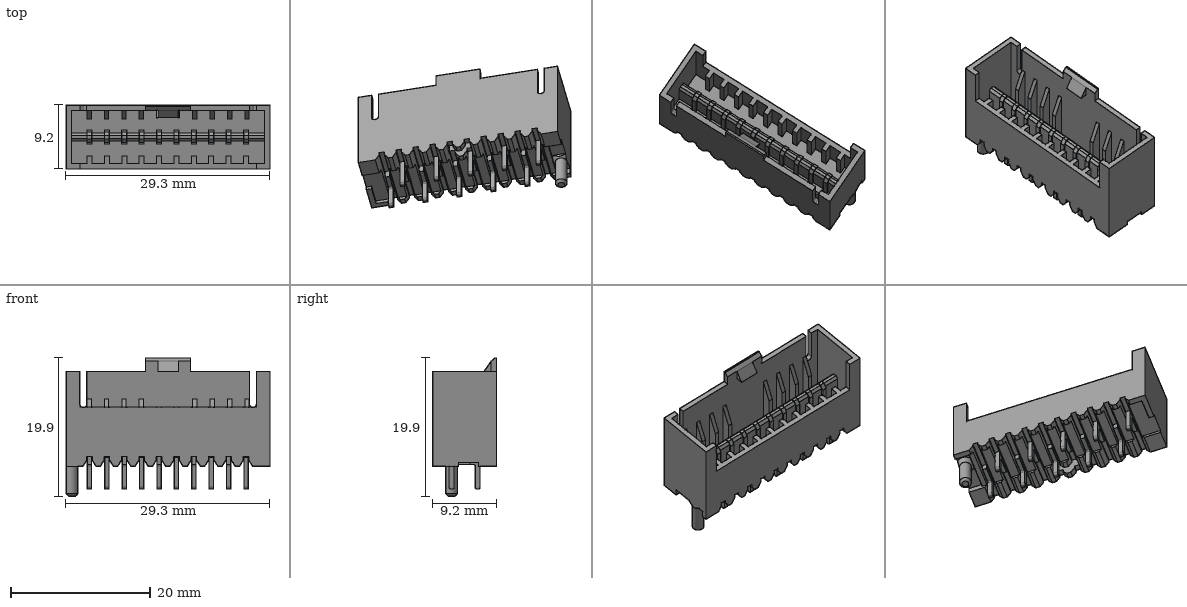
import cadquery as cq

LENGTH = 29.3
DEPTH = 9.2
HEIGHT = 13.65
WALL = 0.78
FLOOR_TOP = 2.5
SILL_HEIGHT = 8.5
SILL_HALF_WIDTH = 12.67
INNER_BACK = DEPTH / 2 - WALL
INNER_FRONT = -INNER_BACK
INNER_LENGTH = LENGTH - 2 * WALL

RELIEF_WIDTH = 0.97
RELIEF_RADIUS = 0.43

LATCH_WIDTH = 6.5
LATCH_TOP = 15.6
LATCH_BEVEL_HEIGHT = 0.47
LATCH_BEVEL_DEPTH = 0.55
CATCH_WIDTH = 2.95
CATCH_REACH = 1.03
CORE_HOLE_WIDTH = 3.27

BACK_RIB_WIDTH = 0.62
BACK_RIB_REACH = 1.25
BACK_RIB_TOP = 9.7
BACK_RIB_SHOULDER = 6.75
BACK_RIB_FIRST = 3.85
BACK_RIBS_PER_SIDE = 4
FRONT_RIB_WIDTH = 0.72
FRONT_RIB_REACH = 1.07

PIN_COUNT = 10
PITCH = 2.5
PIN_ROW_CENTER = -0.05
PIN_XS = [PIN_ROW_CENTER + PITCH * (i - (PIN_COUNT - 1) / 2) for i in range(PIN_COUNT)]
TONGUE_THICKNESS = 1.16
TONGUE_TOP = 7.3
TONGUE_BEVEL = 0.36
CONTACT_WIDTH = 0.65
CONTACT_HALF_DEPTH = 0.76
CONTACT_SHOULDER = 6.7
CONTACT_TIP_HALF_DEPTH = 0.25
CONTACT_TOP = 7.35
POCKET_DEPTH = 2.04
POCKET_BOTTOM = 2.0
LEG_THICKNESS = 0.73
LEG_ROW_OFFSET = 1.87
LEG_BOTTOM = -3.28
LEG_TIP_RADIUS = 0.3
LEG_BEND_RADIUS = 0.16
RUN_BOTTOM = 0.24
RUN_TOP = 1.3

SLOT_WIDTH = 0.74
SLOT_TOP = 1.39
NOTCH_TOP = 0.9
NOTCH_MOUTH = 1.88
UNDERCUT_BACK = 1.98
UNDERCUT_FRONT = -3.85
UNDERCUT_HEIGHT = 0.53
END_RECESS_HEIGHT = 1.04
END_RECESS_LENGTH = 2.0
OUTLET_FRONT = -0.86

PEG_DIAMETER = 1.7
PEG_RADIUS = PEG_DIAMETER / 2
PEG_X = -LENGTH / 2 + PEG_RADIUS
PEG_Y = -1.87
PEG_BOTTOM = -4.3
PEG_CHAMFER = 0.37
PEG_CONE_BOTTOM = 0.42
PEG_CONE_RADIUS = 1.33


def block(x_range, y_range, z_range):
    """Axis-aligned box spanning three coordinate ranges."""
    (x0, x1), (y0, y1), (z0, z1) = x_range, y_range, z_range
    return cq.Workplane("XY").box(x1 - x0, y1 - y0, z1 - z0, centered=False).translate((x0, y0, z0))


def centered(middle, width):
    """Coordinate range of a given width about its middle."""
    return (middle - width / 2, middle + width / 2)


def side_profile(points, middle, width):
    """Extrude a closed (y, z) outline along X, centred on x = middle."""
    solid = cq.Workplane("YZ").polyline(points).close().extrude(width / 2, both=True)
    return solid.translate((middle, 0, 0))


def make_shell():
    """Open-topped box with a low front sill and slotted back wall."""
    shell = block(centered(0, LENGTH), centered(0, DEPTH), (0, HEIGHT))
    shell = shell.cut(block(centered(0, INNER_LENGTH), (INNER_FRONT, INNER_BACK), (FLOOR_TOP, HEIGHT)))
    window = block(centered(0, 2 * SILL_HALF_WIDTH), (-DEPTH / 2, INNER_FRONT), (SILL_HEIGHT, HEIGHT))
    shell = shell.cut(window)
    for side in (-1, 1):
        middle = side * (SILL_HALF_WIDTH - RELIEF_WIDTH / 2)
        relief = block(centered(middle, RELIEF_WIDTH), (INNER_BACK, DEPTH / 2), (SILL_HEIGHT, HEIGHT))
        relief = relief.edges("|Y and <Z").fillet(RELIEF_RADIUS)
        shell = shell.cut(relief)
    return shell


def make_latch():
    """Raised tab with a bevelled lip and a wedge-shaped catch on its inner face."""
    bevel_bottom = LATCH_TOP - LATCH_BEVEL_HEIGHT
    tab = side_profile(
        [
            (DEPTH / 2, HEIGHT - WALL),
            (DEPTH / 2, LATCH_TOP),
            (INNER_BACK + LATCH_BEVEL_DEPTH, LATCH_TOP),
            (INNER_BACK, bevel_bottom),
            (INNER_BACK, HEIGHT - WALL),
        ],
        0,
        LATCH_WIDTH,
    )
    catch = side_profile(
        [(INNER_BACK, bevel_bottom), (INNER_BACK - CATCH_REACH, HEIGHT), (INNER_BACK, HEIGHT)],
        0,
        CATCH_WIDTH,
    )
    return tab.union(catch)


def make_back_rib(x):
    """Guide rib on the back wall with a sloping lead-in."""
    tip = INNER_BACK - BACK_RIB_REACH
    outline = [
        (INNER_BACK, FLOOR_TOP),
        (INNER_BACK, BACK_RIB_TOP),
        (tip, BACK_RIB_SHOULDER),
        (tip, FLOOR_TOP),
    ]
    return side_profile(outline, x, BACK_RIB_WIDTH)


def make_front_rib(x):
    """Rib on the front wall, flush with the sill."""
    return block(
        centered(x, FRONT_RIB_WIDTH),
        (INNER_FRONT, INNER_FRONT + FRONT_RIB_REACH),
        (FLOOR_TOP, SILL_HEIGHT),
    )


def make_tongue():
    """Upright insulating wall on the floor with both long top edges bevelled."""
    tongue = block(centered(0, INNER_LENGTH), centered(0, TONGUE_THICKNESS), (FLOOR_TOP, TONGUE_TOP))
    return tongue.edges("|X and >Z").chamfer(TONGUE_BEVEL)


def make_contact_pocket(x):
    """Clearance around one contact, through the tongue and into the floor it is seated in."""
    return block(centered(x, SLOT_WIDTH), centered(0, POCKET_DEPTH), (POCKET_BOTTOM, TONGUE_TOP))


def cut_underside(body):
    """Open the pin slots, the flared notches, the undercut and the end recess."""
    for x in PIN_XS:
        body = body.cut(block(centered(x, SLOT_WIDTH), centered(0, DEPTH), (0, SLOT_TOP)))
        notch = (
            cq.Workplane("XZ")
            .polyline(
                [
                    (x - NOTCH_MOUTH / 2, 0),
                    (x - SLOT_WIDTH / 2, NOTCH_TOP),
                    (x + SLOT_WIDTH / 2, NOTCH_TOP),
                    (x + NOTCH_MOUTH / 2, 0),
                ]
            )
            .close()
            .extrude(DEPTH / 2, both=True)
        )
        body = body.cut(notch)
    undercut = block(
        (-LENGTH / 2, LENGTH / 2 - WALL), (UNDERCUT_FRONT, UNDERCUT_BACK), (0, UNDERCUT_HEIGHT)
    )
    outlet = block(
        (LENGTH / 2 - WALL, LENGTH / 2), (OUTLET_FRONT, UNDERCUT_BACK), (0, UNDERCUT_HEIGHT)
    )
    end_recess = block(
        (-LENGTH / 2, -LENGTH / 2 + END_RECESS_LENGTH),
        (UNDERCUT_FRONT, UNDERCUT_BACK),
        (0, END_RECESS_HEIGHT),
    )
    return body.cut(undercut).cut(outlet).cut(end_recess)


def make_contact(x, side):
    """Contact blade with a tapered head and a tail bent down at the back (+1) or front (-1) row."""
    leg_outer = LEG_ROW_OFFSET + LEG_THICKNESS / 2
    leg_inner = LEG_ROW_OFFSET - LEG_THICKNESS / 2
    outline = [
        (-CONTACT_HALF_DEPTH, RUN_BOTTOM),
        (leg_inner, RUN_BOTTOM),
        (leg_inner, LEG_BOTTOM),
        (leg_outer, LEG_BOTTOM),
        (leg_outer, RUN_TOP),
        (CONTACT_HALF_DEPTH, RUN_TOP),
        (CONTACT_HALF_DEPTH, CONTACT_SHOULDER),
        (CONTACT_TIP_HALF_DEPTH, CONTACT_TOP),
        (-CONTACT_TIP_HALF_DEPTH, CONTACT_TOP),
        (-CONTACT_HALF_DEPTH, CONTACT_SHOULDER),
    ]
    contact = side_profile([(side * y, z) for y, z in outline], x, CONTACT_WIDTH)
    contact = contact.edges("|X and <Z").fillet(LEG_TIP_RADIUS)
    bend = cq.NearestToPointSelector((x, side * leg_inner, RUN_BOTTOM))
    return contact.edges(bend).fillet(LEG_BEND_RADIUS)


def make_peg():
    """Chamfered locating peg with a conical root, trimmed at the end wall and the outlet edge."""
    peg = (
        cq.Workplane("XZ")
        .polyline(
            [
                (0, PEG_BOTTOM),
                (PEG_RADIUS - PEG_CHAMFER, PEG_BOTTOM),
                (PEG_RADIUS, PEG_BOTTOM + PEG_CHAMFER),
                (PEG_RADIUS, PEG_CONE_BOTTOM),
                (PEG_CONE_RADIUS, END_RECESS_HEIGHT),
                (0, END_RECESS_HEIGHT),
            ]
        )
        .close()
        .revolve(360, (0, 0, 0), (0, 1, 0))
        .translate((PEG_X, PEG_Y, 0))
    )
    envelope = block(
        centered(0, LENGTH), (-DEPTH / 2, OUTLET_FRONT), (PEG_BOTTOM, END_RECESS_HEIGHT)
    )
    return peg.intersect(envelope)


result = make_shell().union(make_latch()).union(make_tongue())
for rib_index in range(BACK_RIBS_PER_SIDE):
    rib_x = BACK_RIB_FIRST + PITCH * rib_index
    result = result.union(make_back_rib(rib_x)).union(make_back_rib(-rib_x))
for pin_x in PIN_XS:
    result = result.union(make_front_rib(pin_x)).cut(make_contact_pocket(pin_x))
core_hole = block(
    centered(0, CORE_HOLE_WIDTH), (INNER_BACK - CATCH_REACH, INNER_BACK), (0, FLOOR_TOP)
)
result = cut_underside(result.cut(core_hole))
for pin_index, pin_x in enumerate(PIN_XS):
    result = result.union(make_contact(pin_x, 1 if pin_index % 2 == 0 else -1))
result = result.union(make_peg())